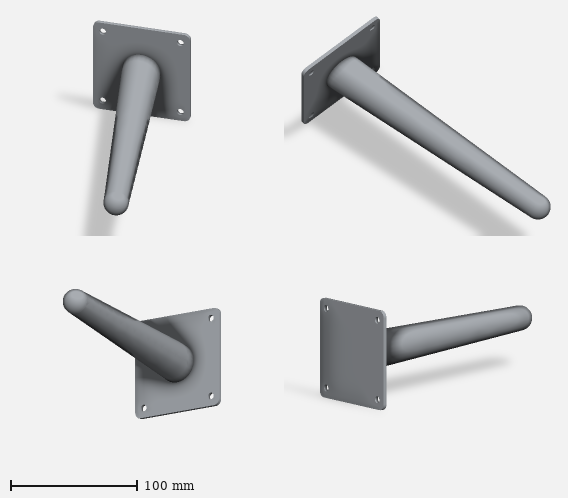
import cadquery as cq
import math

overall_length = 210.0

plate_side = 80.0
plate_thickness = 3.0
corner_radius = 5.0
hole_diameter = 5.5
hole_spacing = 64.0

tilt_angle = 10.0
base_radius = 15.8
tip_radius = 10.0

tip_depth = overall_length - plate_thickness - tip_radius
axis_length = tip_depth / math.cos(math.radians(tilt_angle))


def make_plate():
    """Square plate with rounded corners and four holes; its front face lies on Y = 0."""
    return (
        cq.Workplane("XZ")
        .rect(plate_side, plate_side)
        .extrude(-plate_thickness)
        .edges("|Y")
        .fillet(corner_radius)
        .faces("<Y")
        .workplane(origin=(0, 0, 0))
        .rect(hole_spacing, hole_spacing, forConstruction=True)
        .vertices()
        .hole(hole_diameter)
    )


def make_leg():
    """Round-ended cone about a tilted axis, trimmed flush with the plate's front face."""
    root_length = base_radius / 2
    taper = (base_radius - tip_radius) / axis_length
    root_radius = base_radius + taper * root_length
    dome_mid = tip_radius * math.sqrt(0.5)

    straight_leg = (
        cq.Workplane("XY")
        .moveTo(0, root_length)
        .lineTo(root_radius, root_length)
        .lineTo(tip_radius, -axis_length)
        .threePointArc((dome_mid, -axis_length - dome_mid), (0, -axis_length - tip_radius))
        .close()
        .revolve(360, (0, 0, 0), (0, 1, 0))
    )
    tilted_leg = straight_leg.rotate((0, 0, 0), (0, 0, 1), tilt_angle)
    front_space = cq.Workplane("XZ").rect(2 * overall_length, plate_side).extrude(overall_length)
    return tilted_leg.intersect(front_space)


result = make_plate().union(make_leg())